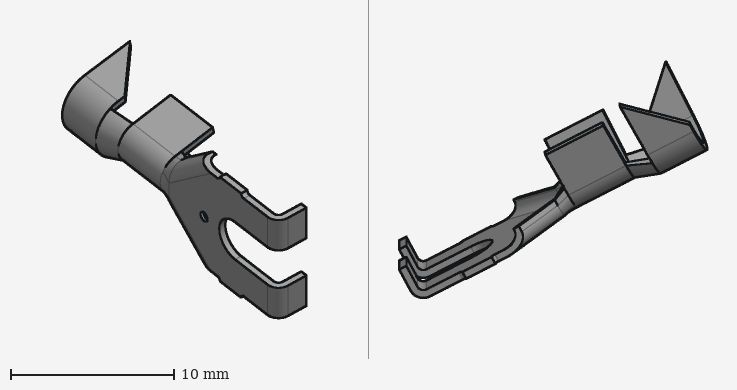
import cadquery as cq
import math

SHEET = 0.5

INSULATION_END = 3.2
WIRE_START = 4.75
WIRE_END = 8.75
FLARE_START = 9.58
LENGTH = 19.84

INSULATION_RADIUS = 2.28
INSULATION_CENTER_Y = INSULATION_RADIUS - SHEET
INSULATION_LEAN = 11.5
CLAW_LENGTH = 3.7
CLAW_SHORT_SIDE = CLAW_LENGTH - INSULATION_END
NECK_LEAN = 28.8

WIRE_RADIUS = 1.53
WIRE_CENTER_Y = WIRE_RADIUS
WIRE_LEAN = 12.5
WING_LENGTH = 3.1

SHOULDER_LEG = 0.54
SHOULDER_FLOOR_ANGLE = 31.0

FLARE_ANGLE = 40.5
FLOOR_HALF_WIDTH = 0.54
ROLL_RADIUS = 1.0
INNER_ROLL_RADIUS = 0.75
INNER_ROLL_CENTER_Y = SHEET + INNER_ROLL_RADIUS
WALL_HEIGHT = 1.39

FORK_WIDTH = 7.94
HALF_FORK = FORK_WIDTH / 2
FLARE_SLOPE = math.tan(math.radians(FLARE_ANGLE))
FORK_START = FLARE_START + (HALF_FORK - FLOOR_HALF_WIDTH) / FLARE_SLOPE
TAB_HEIGHT = 2.38
BEND_RADIUS = 0.9
SLOT_WIDTH = 3.02
SLOT_START = 14.36
DIMPLE_X = 12.92
DIMPLE_DIAMETER = 0.65
DIMPLE_DEPTH = 0.24
EAR_START = 14.42
EAR_END = 16.45
EAR_SPAN = 8.43
EAR_FILLET = 0.24


def barrel_point(x, center_y, radius, lean, leg=0.0):
    """Point on the +Z side of a barrel: at the arc end, or further up its straight leg."""
    angle = math.radians(lean)
    y = center_y - radius * math.sin(angle) + leg * math.cos(angle)
    z = radius * math.cos(angle) + leg * math.sin(angle)
    return cq.Vector(x, y, z)


def mirrored(point):
    return cq.Vector(point.x, point.y, -point.z)


def trough_wire(x, center_y, radius, lean):
    """Closed section of a trough whose arc ends `lean` degrees below its center."""
    inner_radius = radius - SHEET
    outer = barrel_point(x, center_y, radius, lean)
    inner = barrel_point(x, center_y, inner_radius, lean)
    outer_bottom = cq.Vector(x, center_y - radius, 0)
    inner_bottom = cq.Vector(x, center_y - inner_radius, 0)
    edges = [
        cq.Edge.makeThreePointArc(outer, outer_bottom, mirrored(outer)),
        cq.Edge.makeLine(mirrored(outer), mirrored(inner)),
        cq.Edge.makeThreePointArc(mirrored(inner), inner_bottom, inner),
        cq.Edge.makeLine(inner, outer),
    ]
    return cq.Wire.assembleEdges(edges)


def trough(x_start, x_end, center_y, radius, lean):
    wire = trough_wire(x_start, center_y, radius, lean)
    return cq.Workplane(obj=cq.Solid.extrudeLinear(wire, [], cq.Vector(x_end - x_start, 0, 0)))


def leg(center_y, radius, lean, outline):
    """Straight +Z leg; the outline gives X and the distance up the leg from the arc end."""
    angle = math.radians(lean)
    plane = cq.Plane(
        origin=barrel_point(0, center_y, radius, lean).toTuple(),
        xDir=(1, 0, 0),
        normal=(0, -math.sin(angle), math.cos(angle)),
    )
    return cq.Workplane(plane).polyline(outline).close().extrude(-SHEET)


def insulation_barrel():
    shape = (INSULATION_CENTER_Y, INSULATION_RADIUS, INSULATION_LEAN)
    body = trough(0, INSULATION_END, *shape)
    claw_front = [(0, 0), (INSULATION_END, 0), (INSULATION_END, CLAW_SHORT_SIDE), (0, CLAW_LENGTH)]
    claw_rear = [(0, 0), (INSULATION_END, 0), (INSULATION_END, CLAW_LENGTH), (0, CLAW_SHORT_SIDE)]
    return body.union(leg(*shape, claw_front)).union(leg(*shape, claw_rear).mirror("XY"))


def neck():
    large = trough_wire(INSULATION_END, INSULATION_CENTER_Y, INSULATION_RADIUS, NECK_LEAN)
    small = trough_wire(WIRE_START, WIRE_CENTER_Y, WIRE_RADIUS, WIRE_LEAN)
    return cq.Workplane(obj=cq.Solid.makeLoft([large, small], True))


def wire_barrel():
    shape = (WIRE_CENTER_Y, WIRE_RADIUS, WIRE_LEAN)
    wing = leg(
        *shape,
        [(WIRE_START, 0), (WIRE_END, 0), (WIRE_END, WING_LENGTH), (WIRE_START, WING_LENGTH)],
    )
    return trough(WIRE_START, WIRE_END, *shape).union(wing).union(wing.mirror("XY"))


def shoulder_start_edges():
    """+Z side of the wire barrel section, then its outer and inner floor arcs."""
    inner_radius = WIRE_RADIUS - SHEET
    floor_lean = 90 - SHOULDER_FLOOR_ANGLE
    middle_lean = (floor_lean + WIRE_LEAN) / 2

    def point(radius, lean, leg_length=0.0):
        return barrel_point(WIRE_END, WIRE_CENTER_Y, radius, lean, leg_length)

    def side_arc(radius):
        return cq.Edge.makeThreePointArc(
            point(radius, floor_lean), point(radius, middle_lean), point(radius, WIRE_LEAN)
        )

    def floor_arc(radius):
        end = point(radius, floor_lean)
        return cq.Edge.makeThreePointArc(end, point(radius, 90), mirrored(end))

    outer_tip = point(WIRE_RADIUS, WIRE_LEAN, SHOULDER_LEG)
    inner_tip = point(inner_radius, WIRE_LEAN, SHOULDER_LEG)
    side = [
        side_arc(WIRE_RADIUS),
        cq.Edge.makeLine(point(WIRE_RADIUS, WIRE_LEAN), outer_tip),
        cq.Edge.makeLine(outer_tip, inner_tip),
        cq.Edge.makeLine(inner_tip, point(inner_radius, WIRE_LEAN)),
        side_arc(inner_radius),
    ]
    return side, floor_arc(WIRE_RADIUS), floor_arc(inner_radius)


def shoulder_end_edges():
    """The same edges at the flare start, where the rolls are cut obliquely into ellipses."""
    stretch = 1 / math.cos(math.radians(FLARE_ANGLE))
    outer_z = FLOOR_HALF_WIDTH + ROLL_RADIUS * stretch
    inner_z = FLOOR_HALF_WIDTH + INNER_ROLL_RADIUS * stretch

    def point(y, z):
        return cq.Vector(FLARE_START, y, z)

    def roll(radius, center_y):
        center = point(center_y, FLOOR_HALF_WIDTH)
        x_axis, z_axis = cq.Vector(1, 0, 0), cq.Vector(0, 0, 1)
        return cq.Edge.makeEllipse(radius * stretch, radius, center, x_axis, z_axis, 0, 90)

    def floor_line(y):
        return cq.Edge.makeLine(point(y, FLOOR_HALF_WIDTH), point(y, -FLOOR_HALF_WIDTH))

    side = [
        roll(ROLL_RADIUS, ROLL_RADIUS),
        cq.Edge.makeLine(point(ROLL_RADIUS, outer_z), point(WALL_HEIGHT, outer_z)),
        cq.Edge.makeLine(point(WALL_HEIGHT, outer_z), point(WALL_HEIGHT, inner_z)),
        cq.Edge.makeLine(point(WALL_HEIGHT, inner_z), point(INNER_ROLL_CENTER_Y, inner_z)),
        roll(INNER_ROLL_RADIUS, INNER_ROLL_CENTER_Y),
    ]
    return side, floor_line(0), floor_line(SHEET)


def symmetric_wire(side, outer_floor, inner_floor):
    other_side = [edge.mirror("XY") for edge in reversed(side)]
    return cq.Wire.assembleEdges(side + [inner_floor] + other_side + [outer_floor])


def shoulder():
    sections = [symmetric_wire(*shoulder_start_edges()), symmetric_wire(*shoulder_end_edges())]
    return cq.Workplane(obj=cq.Solid.makeLoft(sections, True))


def rolled_edge():
    """Quarter-round roll and short wall along the +Z edge of the flare."""
    angle = math.radians(FLARE_ANGLE)
    section_plane = cq.Plane(
        origin=(FLARE_START, 0, FLOOR_HALF_WIDTH),
        xDir=(math.sin(angle), 0, -math.cos(angle)),
        normal=(math.cos(angle), 0, math.sin(angle)),
    )
    edge = (
        cq.Workplane(section_plane)
        .lineTo(0, SHEET)
        .radiusArc((-INNER_ROLL_RADIUS, INNER_ROLL_CENTER_Y), INNER_ROLL_RADIUS)
        .lineTo(-INNER_ROLL_RADIUS, WALL_HEIGHT)
        .lineTo(-ROLL_RADIUS, WALL_HEIGHT)
        .lineTo(-ROLL_RADIUS, ROLL_RADIUS)
        .radiusArc((0, 0), -ROLL_RADIUS)
        .close()
        .extrude((FORK_START - FLARE_START) / math.cos(angle))
    )
    flare_space = (
        cq.Workplane()
        .center(FLARE_START, 0)
        .box(LENGTH, LENGTH, FORK_WIDTH, centered=(False, True, True))
    )
    return edge.intersect(flare_space)


def flare():
    floor_outline = [
        (FLARE_START, -FLOOR_HALF_WIDTH),
        (FORK_START, -HALF_FORK),
        (FORK_START, HALF_FORK),
        (FLARE_START, FLOOR_HALF_WIDTH),
    ]
    floor = cq.Workplane("XZ").polyline(floor_outline).close().extrude(-SHEET)
    dimple = cq.Workplane("XZ").center(DIMPLE_X, 0).circle(DIMPLE_DIAMETER / 2).extrude(-DIMPLE_DEPTH)
    edge = rolled_edge()
    return floor.cut(dimple).union(edge).union(edge.mirror("XY"))


def ears():
    """Low ears on both long edges of the fork, with a concave fillet at each foot."""
    half_span = EAR_SPAN / 2
    foot = HALF_FORK + EAR_FILLET
    blend = EAR_FILLET * (1 - math.sqrt(0.5))
    ear = (
        cq.Workplane("XZ")
        .moveTo(EAR_START - EAR_FILLET, HALF_FORK)
        .threePointArc((EAR_START - blend, HALF_FORK + blend), (EAR_START, foot))
        .lineTo(EAR_START, half_span)
        .lineTo(EAR_END, half_span)
        .lineTo(EAR_END, foot)
        .threePointArc((EAR_END + blend, HALF_FORK + blend), (EAR_END + EAR_FILLET, HALF_FORK))
        .close()
        .extrude(-SHEET)
    )
    return ear.union(ear.mirror("XY"))


def fork():
    """Flat fork whose two prongs are bent up at the tip."""
    blade = (
        cq.Workplane("XY", origin=(0, 0, -HALF_FORK))
        .moveTo(FORK_START, 0)
        .lineTo(LENGTH - BEND_RADIUS, 0)
        .radiusArc((LENGTH, BEND_RADIUS), -BEND_RADIUS)
        .lineTo(LENGTH, TAB_HEIGHT)
        .lineTo(LENGTH - SHEET, TAB_HEIGHT)
        .lineTo(LENGTH - SHEET, BEND_RADIUS)
        .radiusArc((LENGTH - BEND_RADIUS, SHEET), BEND_RADIUS - SHEET)
        .lineTo(FORK_START, SHEET)
        .close()
        .extrude(FORK_WIDTH)
    )
    slot_radius = SLOT_WIDTH / 2
    slot_center = SLOT_START + slot_radius
    slot = (
        cq.Workplane("XZ")
        .moveTo(LENGTH, -slot_radius)
        .lineTo(slot_center, -slot_radius)
        .threePointArc((SLOT_START, 0), (slot_center, slot_radius))
        .lineTo(LENGTH, slot_radius)
        .close()
        .extrude(-TAB_HEIGHT)
    )
    return blade.union(ears()).cut(slot)


result = (
    insulation_barrel()
    .union(neck())
    .union(wire_barrel())
    .union(shoulder())
    .union(flare())
    .union(fork())
    .clean()
)